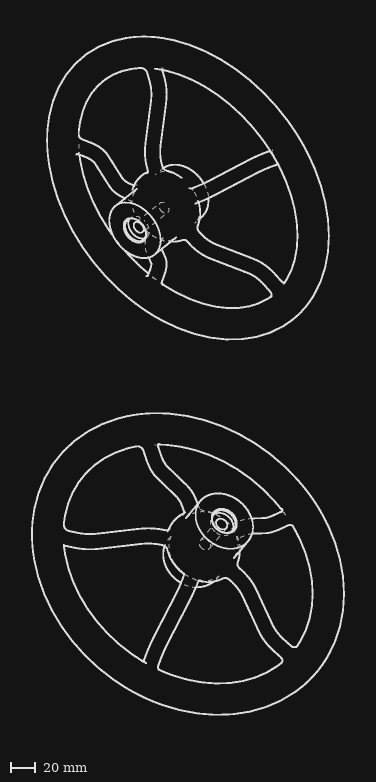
import cadquery as cq
import math


outer_diameter = 273.5
rim_thickness = 25.7
ring_radius = (outer_diameter - rim_thickness) / 2

overall_depth = 88.5
hub_radius = 50.8 / 2
hub_front_y = rim_thickness / 2 - overall_depth
hub_back_y = -2.2
hub_back_fillet = 7.5
bead_y = -31.7
bead_radius = 31.5
bead_tube_radius = 12.5
bead_fillet = 5.0

counterbore_diameter = 20.5
counterbore_depth = 5.5
counterbore_chamfer = 0.95
bore_diameter = 9.8
bore_depth = 41.0
drill_tip_angle = 118.0

spoke_count = 5
first_spoke_angle = 180.0
spoke_angles = [first_spoke_angle + index * 360 / spoke_count for index in range(spoke_count)]
spoke_diameter = 12.5
spoke_bend_radius = 30.0
spoke_start_radius = 18.9
spoke_fillet = 5.0
slope = math.radians(36.0)
bend_setback = spoke_bend_radius * math.tan(slope / 2)
inner_corner_radius = 45.7
outer_corner_radius = inner_corner_radius - bead_y / math.tan(slope)
spoke_middle_radius = (inner_corner_radius + outer_corner_radius) / 2
spoke_middle_y = bead_y / 2


def ring(path_radius, tube_radius, center_y, sweep_angle=360.0):
    """Round ring around the Y axis, or a sector of it centred on +X."""
    section = cq.Workplane("XY").center(path_radius, center_y).circle(tube_radius)
    sector = section.revolve(sweep_angle, (-path_radius, 0, 0), (-path_radius, 1, 0))
    return sector.rotate((0, 0, 0), (0, 1, 0), -sweep_angle / 2)


def cylinder_along_y(radius, start_y, length):
    """Cylinder on the Y axis, growing from start_y toward +Y."""
    return cq.Workplane("XZ", origin=(0, start_y, 0)).circle(radius).extrude(-length)


def box_around_y(half_width, center_y, half_depth):
    """Edge selector: a box centred on the Y axis at center_y."""
    return cq.selectors.BoxSelector(
        (-half_width, center_y - half_depth, -half_width),
        (half_width, center_y + half_depth, half_width),
    )


def rotate_about_y(body, angle):
    return body.rotate((0, 0, 0), (0, 1, 0), angle)


def half_spoke(end_radius, end_y, corner_radius):
    """Bar along +X from a radial end, through one bend, to the middle of the slope."""
    outward = math.copysign(1, corner_radius - end_radius)
    upward = math.copysign(1, spoke_middle_y - end_y)
    straight_end_radius = corner_radius - outward * bend_setback
    bend_end = (
        corner_radius + outward * bend_setback * math.cos(slope),
        end_y + upward * bend_setback * math.sin(slope),
    )
    path = (
        cq.Workplane("XY")
        .moveTo(end_radius, end_y)
        .lineTo(straight_end_radius, end_y)
        .tangentArcPoint(bend_end, relative=False)
        .lineTo(spoke_middle_radius, spoke_middle_y)
    )
    end_plane = cq.Workplane("YZ", origin=(end_radius, end_y, 0)).transformed(rotate=(0, 0, 90))
    return end_plane.circle(spoke_diameter / 2).sweep(path)


def make_hub():
    """Bead with the inner half spokes filleted on, then the barrel blended into the bead."""
    bead = ring(bead_radius - bead_tube_radius, bead_tube_radius, bead_y)
    hub = rotate_about_y(bead, first_spoke_angle)
    inner_spoke = half_spoke(spoke_start_radius, bead_y, inner_corner_radius)
    for angle in spoke_angles:
        hub = hub.union(rotate_about_y(inner_spoke, angle))
    spoke_roots = box_around_y(bead_radius + spoke_diameter / 2, bead_y, bead_tube_radius)
    hub = hub.edges(spoke_roots).edges("%BSPLINE").fillet(spoke_fillet)

    barrel = cylinder_along_y(hub_radius, hub_front_y, hub_back_y - hub_front_y)
    barrel = barrel.faces(">Y").edges().fillet(hub_back_fillet)
    hub = hub.union(barrel)
    bead_seams = box_around_y(hub_radius / 2, bead_y, bead_tube_radius)
    return hub.edges(bead_seams).edges("%CIRCLE").fillet(bead_fillet)


def make_rim_sector():
    """Sector of the rim with one outer half spoke filleted on."""
    rim = ring(ring_radius, rim_thickness / 2, 0, 360 / spoke_count)
    sector = rim.union(half_spoke(ring_radius, 0, outer_corner_radius))
    joint_box = cq.selectors.BoxSelector(
        (ring_radius - rim_thickness, -spoke_diameter, -spoke_diameter),
        (ring_radius, spoke_diameter, spoke_diameter),
    )
    return sector.edges(joint_box).edges("%BSPLINE").fillet(spoke_fillet)


def make_bore():
    """Chamfered counterbore and a drilled hole with a conical tip."""
    counterbore_radius = counterbore_diameter / 2
    counterbore_end_y = hub_front_y + counterbore_depth
    bore_radius = bore_diameter / 2
    bore_end_y = hub_front_y + bore_depth
    tip_length = bore_radius / math.tan(math.radians(drill_tip_angle / 2))
    return (
        cq.Workplane("XY")
        .moveTo(0, hub_front_y)
        .lineTo(counterbore_radius + counterbore_chamfer, hub_front_y)
        .lineTo(counterbore_radius, hub_front_y + counterbore_chamfer)
        .lineTo(counterbore_radius, counterbore_end_y)
        .lineTo(bore_radius, counterbore_end_y)
        .lineTo(bore_radius, bore_end_y)
        .lineTo(0, bore_end_y + tip_length)
        .close()
        .revolve(360, (0, 0, 0), (0, 1, 0))
    )


wheel = make_hub().cut(make_bore())
rim_sector = make_rim_sector()
for angle in spoke_angles:
    wheel = wheel.union(rotate_about_y(rim_sector, angle), clean=False)

result = wheel